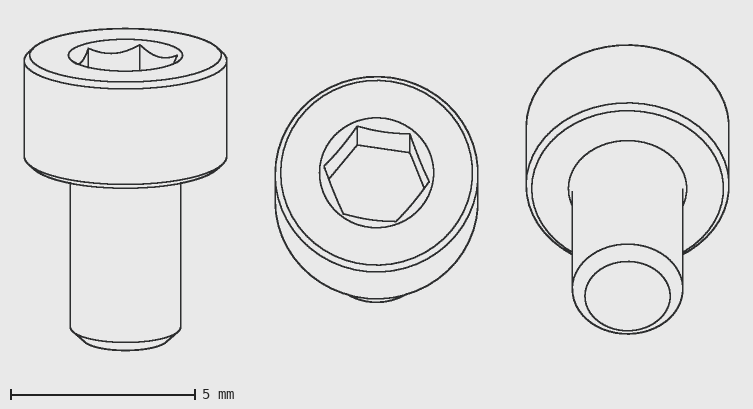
import cadquery as cq
import math

total_length = 8.0
head_diameter = 5.5
head_height = 3.0
head_chamfer = 0.15
shank_diameter = 3.0
shank_length = total_length - head_height

neck_flare_width = 0.1
neck_flare_height = 0.15
tip_chamfer_width = 0.34
tip_chamfer_height = 0.33

socket_flats = 2.5
socket_depth = 2.0
lead_in_diameter = 3.1
lead_in_angle = 45.0


def make_head():
    head = cq.Workplane("XY").circle(head_diameter / 2).extrude(head_height)
    return head.edges().chamfer(head_chamfer)


def make_shank():
    radius = shank_diameter / 2
    return (
        cq.Workplane("XZ")
        .moveTo(0, -shank_length)
        .lineTo(radius - tip_chamfer_width, -shank_length)
        .lineTo(radius, -shank_length + tip_chamfer_height)
        .lineTo(radius, -neck_flare_height)
        .tangentArcPoint((radius + neck_flare_width, 0), relative=False)
        .lineTo(0, 0)
        .close()
        .revolve(360, (0, 0), (0, 1))
    )


def make_socket():
    across_corners = socket_flats / math.cos(math.radians(30))
    hexagon = (
        cq.Workplane("XY", origin=(0, 0, head_height - socket_depth))
        .transformed(rotate=(0, 0, 90))
        .polygon(6, across_corners)
        .extrude(socket_depth)
    )
    lead_in_radius = lead_in_diameter / 2
    lead_in_depth = lead_in_radius / math.tan(math.radians(lead_in_angle))
    lead_in = (
        cq.Workplane("XZ")
        .moveTo(0, head_height)
        .lineTo(lead_in_radius, head_height)
        .lineTo(0, head_height - lead_in_depth)
        .close()
        .revolve(360, (0, 0), (0, 1))
    )
    return hexagon.union(lead_in)


result = make_head().union(make_shank()).cut(make_socket())